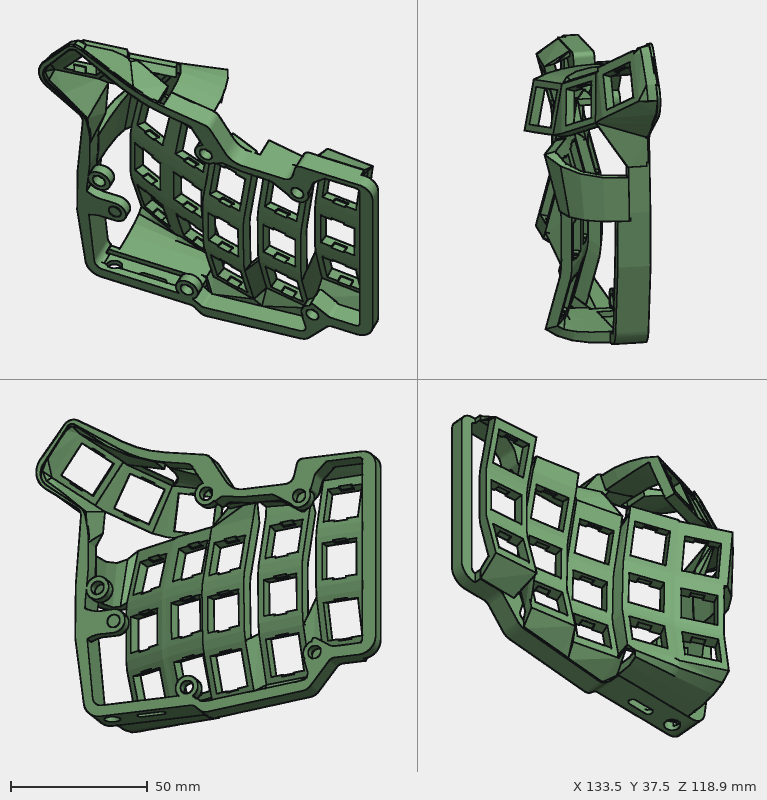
import cadquery as cq
import math


KEY_SIZE = 19.0
KEY_THICK = 4.0
HOLE_SIZE = 14.0
NOTCH_WIDTH = 5.2
NOTCH_REACH = 0.6
NOTCH_DEPTH = 2.5
ROW_PITCH = 15.0
ROW_RADIUS = 86.5
BOTTOM_ROW = -1
TOP_ROW = 1
ROWS = (BOTTOM_ROW, 0, TOP_ROW)

COLUMNS = (
    ((33.2, 23.4, 42.4), 25.0, 0.0),
    ((52.7, 15.5, 43.0), 20.0, 1.0),
    ((71.6, 4.9, 39.7), 15.0, 1.0),
    ((94.1, 4.7, 43.3), 10.0, 0.5),
    ((116.3, 7.3, 55.3), 5.0, 0.0),
)

THUMBS = (
    ((51.4, 28.34, 86.5), (0.93, 0.345, -0.13), (-0.295, 0.909, 0.296)),
    ((32.9, 19.8, 92.0), (0.786, 0.485, -0.386), (-0.365, 0.865, 0.345)),
    ((16.7, 9.0, 102.0), (0.684, 0.545, -0.482), (-0.403, 0.826, 0.361)),
)

RIM_HEIGHT = 8.0
LEFT_HEIGHT = 12.4
RIGHT_HEIGHT = 5.2
THUMB_HEIGHT = 1.1
RIGHT_STEP_X = 126.7
THUMB_END_X = 49.5
THUMB_START_Z = 72.0
LEFT_WALL_X = 23.5
BOTTOM_WALL_X = 62.0
BOTTOM_WALL_Z = 7.6
LEFT_WALL_TOP = 52.0
WALL_OVERLAP = 0.5
BEYOND = 200.0

MERGE_DISTANCE = 1e-4
FLAT_TOLERANCE = 1e-6
CURVE_STEPS = 4

OUTER_OUTLINE = (
    (19.4, 3.3, 6.5),
    (15.3, 34.6, 0.0),
    (15.5, 55.0, 0.0),
    (17.7, 83.4, 4.0),
    (-3.4, 98.6, 8.0),
    (13.3, 120.15, 4.2),
    (41.8, 103.5, 50.0),
    (67.8, 98.9, 4.0),
    (77.0, 84.1, 8.0),
    (100.7, 84.1, 3.5),
    (102.9, 93.1, 2.5),
    (133.47, 93.1, 5.5),
    (133.47, 14.95, 6.5),
    (116.0, 14.95, 3.0),
    (106.7, 3.8, 5.0),
    (65.6, -0.15, 4.0),
    (61.7, 3.3, 3.0),
)
INNER_OUTLINE = (
    (22.5, 7.5, 3.5),
    (19.0, 45.0, 40.0),
    (20.4, 60.0, 3.0),
    (20.4, 75.0, 20.0),
    (18.8, 83.5, 6.0),
    (-0.6, 98.4, 6.0),
    (13.4, 118.0, 2.0),
    (40.7, 100.0, 50.0),
    (60.5, 96.3, 3.0),
    (64.8, 89.5, 3.0),
    (70.0, 80.5, 1.0),
    (73.2, 82.4, 2.0),
    (81.0, 81.1, 2.0),
    (93.0, 80.7, 3.0),
    (102.0, 75.0, 1.0),
    (108.0, 81.0, 2.0),
    (109.6, 86.5, 3.0),
    (114.2, 90.9, 0.6),
    (128.3, 90.9, 1.6),
    (128.3, 19.4, 1.6),
    (116.2, 19.4, 3.0),
    (109.0, 24.0, 1.0),
    (105.3, 15.5, 2.0),
    (107.5, 7.9, 2.5),
    (65.4, 4.1, 1.5),
    (60.5, 7.5, 2.0),
)

BOSSES = ((66.8, 84.1), (24.1, 52.9), (103.4, 78.9), (109.4, 18.0), (59.2, 10.5))
BOSS_RADIUS = 4.4
BOSS_HEIGHT = 4.0
SCREW_DIAMETER = 4.95

TAB_X = 30.4
TAB_Z = 39.4
TAB_RADIUS = 4.5
TAB_ROOT_X = 18.0
TAB_ROOT_HALF = 7.2
TAB_STRAIGHT = 4.0
TAB_FLARE_X = 21.5
TAB_FLARE = 0.6
TAB_HOLE_DIAMETER = 4.9
TAB_HOLE_DEPTH = 0.2

POCKET_X = (21.5, 55.6)
POCKET_Y = (3.1, 10.3)
POCKET_Z = (5.4, 7.6)
PORT_X = (38.0, 49.0)
PORT_Y = 4.7
PORT_WIDTH = 3.2
JACK_X = 28.0
JACK_Y = 5.0
JACK_DIAMETER = 6.0

TOP_LIPS = (3.0, 3.0, 4.5, 2.2, 1.6)
FLAT_TOP_FEET = {
    2: ((71.0, 81.8), (71.5, 84.1), (83.0, 81.3), (83.0, 84.1)),
    3: ((85.0, 81.0), (85.0, 84.1), (103.0, 79.0), (103.0, 84.1)),
}
FLAT_TOP_RISE = 1.5
FLAT_TOP_DROPS = {2: 3.5, 3: 0.0}
LAST_TOP_FOOT = ((108.0, 90.9), (108.0, 93.1), (126.5, 90.9), (126.5, 93.1))
BOTTOM_LIP = 2.5
BOTTOM_FEET = (
    ((27.0, 7.5), (27.0, 3.3), (44.5, 7.5), (44.5, 3.3)),
    ((46.0, 7.5), (46.0, 3.3), (62.0, 7.5), (62.0, 3.3)),
    ((66.0, 4.1), (66.0, 0.2), (82.5, 5.6), (82.5, 1.7)),
    ((86.0, 6.0), (86.0, 2.2), (104.8, 7.6), (104.8, 4.0)),
    ((107.5, 19.4), (110.0, 14.95), (126.5, 19.4), (126.5, 14.95)),
)
JOINED_WALLS = 4
BOWED_COLUMNS = (0, 1)
BOTTOM_CONTROL_HEIGHT = 29.0
LEFT_FOOT = ((19.6, 52.0), (15.4, 52.0), (20.4, 68.0), (16.6, 68.0))
LEFT_CONTROL_HEIGHT = 29.0
SIDE_LIP = 1.3

THUMB_STATIONS = (
    ((19.3, 83.0), (17.4, 82.6)),
    ((9.5, 91.9), (8.3, 90.1)),
    ((3.8, 96.7), (2.3, 95.3)),
    ((2.2, 100.6), (0.1, 101.1)),
    ((4.2, 105.7), (2.7, 106.7)),
    ((11.6, 115.2), (10.5, 116.5)),
    ((13.9, 116.6), (13.5, 118.6)),
    ((16.4, 115.6), (17.5, 117.6)),
    ((27.6, 107.2), (28.8, 111.3)),
    ((36.4, 102.4), (37.6, 105.8)),
    ((46.5, 98.9), (47.3, 102.5)),
)
SHOULDER_INSET = 0.4
SHOULDER_HEIGHT = 4.5
OPENING_HEIGHT = 10.0
NECK_END_X = (16.8, 20.4)
NECK_END_Z = 71.0
NECK_BULGE = (22.0, 11.0, 77.5)
THUMB_LIP_SHIFT = (1.0, -3.2, 0.9)
FAR_THUMB_LIP = 1.2
NEAR_THUMB_FOOT = ((49.5, 98.3), (49.5, 102.1), (64.0, 93.0), (66.5, 98.4))
NEAR_THUMB_CONTROL_HEIGHT = 23.3


def hull(points):
    """Convex solid around a handful of points."""
    vectors = []
    for point in points:
        vector = cq.Vector(*point)
        if all((vector - other).Length > MERGE_DISTANCE for other in vectors):
            vectors.append(vector)
    faces = {}
    count = len(vectors)
    for i in range(count):
        for j in range(i + 1, count):
            for k in range(j + 1, count):
                normal = (vectors[j] - vectors[i]).cross(vectors[k] - vectors[i])
                if normal.Length < FLAT_TOLERANCE:
                    continue
                normal = normal.normalized()
                heights = [normal.dot(v - vectors[i]) for v in vectors]
                if max(heights) > FLAT_TOLERANCE and min(heights) < -FLAT_TOLERANCE:
                    continue
                on_face = frozenset(n for n in range(count) if abs(heights[n]) <= FLAT_TOLERANCE)
                faces[on_face] = normal
    shell_faces = []
    for members, normal in faces.items():
        ring = [vectors[n] for n in members]
        middle = sum(ring, cq.Vector()) * (1 / len(ring))
        axis = (ring[0] - middle).normalized()
        side = normal.cross(axis)
        ring.sort(key=lambda v: math.atan2((v - middle).dot(side), (v - middle).dot(axis)))
        shell_faces.append(cq.Face.makeFromWires(cq.Wire.makePolygon(ring, close=True)))
    return cq.Solid.makeSolid(cq.Shell.makeShell(shell_faces)).fix()


def wall_sections(upper, lower, control_height):
    """Sections of a wall from a plate edge to its foot, bowed outwards above the foot."""
    sections = []
    for step in range(CURVE_STEPS + 1):
        t = step / CURVE_STEPS
        section = []
        for start, end in zip(upper, lower):
            control = (end[0], control_height, end[2])
            section.append(tuple(
                (1 - t) ** 2 * a + 2 * t * (1 - t) * b + t ** 2 * c
                for a, b, c in zip(start, control, end)
            ))
        sections.append(section)
    return sections


def curved_wall(upper, lower, control_height):
    """Ruled wall whose upper and lower ends are flat."""
    wires = []
    for section in wall_sections(upper, lower, control_height):
        left_inner, left_outer, right_inner, right_outer = [cq.Vector(*point) for point in section]
        wires.append(cq.Wire.makePolygon([left_inner, left_outer, right_outer, right_inner], close=True))
    return cq.Solid.makeLoft(wires, True)


def curved_joint(upper, lower, control_height):
    """Hulls that fill the narrow twisted gap between two curved walls."""
    sections = wall_sections(upper, lower, control_height)
    return [hull(above + below) for above, below in zip(sections, sections[1:])]


def finger_plane(column, row):
    """Underside plane of a finger key; its normal points into the shell."""
    origin, tent, splay = COLUMNS[column]
    angle = math.radians(tent)
    home = cq.Plane(
        origin,
        xDir=(math.cos(angle), -math.sin(angle), 0),
        normal=(-math.sin(angle), -math.cos(angle), 0),
    ).rotated((0, 0, splay))
    pitch = row * ROW_PITCH
    rise = ROW_RADIUS * math.sin(math.radians(pitch))
    lift = ROW_RADIUS * (1 - math.cos(math.radians(pitch)))
    key = home.rotated((-pitch, 0, 0))
    key.origin = home.toWorldCoords((0, rise, -lift))
    return key


def thumb_plane(index):
    """Underside plane of a thumb key; its normal points into the shell."""
    origin, across, outward = THUMBS[index]
    inward = -cq.Vector(*outward).normalized()
    across = cq.Vector(*across)
    return cq.Plane(origin, xDir=across - inward * across.dot(inward), normal=inward)


def key_plate(plane):
    """Square plate with a switch hole and a clip notch in its two level sides."""
    plate = cq.Workplane(plane).rect(KEY_SIZE, KEY_SIZE).extrude(-KEY_THICK)
    hole = cq.Workplane(plane).rect(HOLE_SIZE, HOLE_SIZE).extrude(-KEY_THICK)
    notch = cq.Workplane(plane).rect(NOTCH_WIDTH, HOLE_SIZE + 2 * NOTCH_REACH).extrude(-NOTCH_DEPTH)
    return plate.cut(hole).cut(notch).val()


def post(plane, side, end, extra=0, side_extra=0):
    """Underside and outer point of a plate corner, pushed past the plate's edges by the extras."""
    x = side * (KEY_SIZE / 2 + side_extra)
    y = end * (KEY_SIZE / 2 + extra)
    return [plane.toWorldCoords((x, y, -depth)).toTuple() for depth in (0, KEY_THICK)]


def edge(plane, end, extra=0):
    """Both posts of the plate's upper (+1) or lower (-1) edge."""
    return post(plane, -1, end, extra) + post(plane, 1, end, extra)


def foot(height, corners):
    """Four foot points sunk into the rim, in the order of a plate edge's points."""
    return [(x, height - WALL_OVERLAP, z) for x, z in corners]


def rounded_outline(corners):
    """Closed outline in the XZ plane with every corner rounded by its own radius."""
    sketch = None
    count = len(corners)
    for n in range(count):
        x, z, radius = corners[n]
        corner = cq.Vector(x, z)
        if radius == 0:
            sketch = sketch.lineTo(x, z)
            continue
        before = (cq.Vector(*corners[n - 1][:2]) - corner).normalized()
        after = (cq.Vector(*corners[(n + 1) % count][:2]) - corner).normalized()
        half = before.getAngle(after) / 2
        reach = radius / math.tan(half)
        middle_reach = radius / math.sin(half) - radius
        start = corner + before * reach
        end = corner + after * reach
        middle = corner + (before + after).normalized() * middle_reach
        if sketch is None:
            sketch = cq.Workplane("XZ").moveTo(start.x, start.y)
        else:
            sketch = sketch.lineTo(start.x, start.y)
        sketch = sketch.threePointArc((middle.x, middle.y), (end.x, end.y))
    return sketch.close()


def block(x_range, y_range, z_range):
    """Axis-aligned box given by its limits."""
    lows, highs = zip(x_range, y_range, z_range)
    sizes = [high - low for low, high in zip(lows, highs)]
    return cq.Workplane("XY").box(*sizes, centered=False).translate(lows)


def rim():
    ring = rounded_outline(OUTER_OUTLINE).extrude(-LEFT_HEIGHT)
    ring = ring.cut(rounded_outline(INNER_OUTLINE).extrude(-LEFT_HEIGHT))
    upper = block((-BEYOND, BEYOND), (RIM_HEIGHT, BEYOND), (-BEYOND, BEYOND))
    left = block((-BEYOND, LEFT_WALL_X), (0, BEYOND), (-BEYOND, LEFT_WALL_TOP))
    bottom = block((-BEYOND, BOTTOM_WALL_X), (0, BEYOND), (-BEYOND, BOTTOM_WALL_Z))
    ring = ring.cut(upper.cut(left).cut(bottom))
    ring = ring.cut(block((RIGHT_STEP_X, BEYOND), (RIGHT_HEIGHT, BEYOND), (-BEYOND, BEYOND)))
    ring = ring.cut(block((-BEYOND, THUMB_END_X), (THUMB_HEIGHT, BEYOND), (THUMB_START_Z, BEYOND)))
    return ring


def boss_cylinder(radius, height):
    return cq.Workplane("XZ").pushPoints(BOSSES).circle(radius).extrude(-height)


def tab():
    low = TAB_Z - TAB_RADIUS
    high = TAB_Z + TAB_RADIUS
    flare_end_x = TAB_X - TAB_STRAIGHT
    body = (
        cq.Workplane("XZ")
        .moveTo(TAB_ROOT_X, TAB_Z - TAB_ROOT_HALF)
        .threePointArc((TAB_FLARE_X, low - TAB_FLARE), (flare_end_x, low))
        .lineTo(TAB_X, low)
        .threePointArc((TAB_X + TAB_RADIUS, TAB_Z), (TAB_X, high))
        .lineTo(flare_end_x, high)
        .threePointArc((TAB_FLARE_X, high + TAB_FLARE), (TAB_ROOT_X, TAB_Z + TAB_ROOT_HALF))
        .close()
        .extrude(-BOSS_HEIGHT)
    )
    hole = cq.Workplane("XZ").center(TAB_X, TAB_Z).circle(TAB_HOLE_DIAMETER / 2).extrude(-TAB_HOLE_DEPTH)
    return body.cut(hole)


def connector_cuts():
    """Pocket inside the lower wall, an obround port and a round port through it."""
    pocket = block(POCKET_X, POCKET_Y, POCKET_Z)
    low_port, high_port = PORT_X
    port = (
        cq.Workplane("XY", origin=((low_port + high_port) / 2, PORT_Y, 0))
        .slot2D(high_port - low_port, PORT_WIDTH)
        .extrude(POCKET_Z[1])
    )
    jack = (
        cq.Workplane("XY", origin=(JACK_X, JACK_Y, 0))
        .circle(JACK_DIAMETER / 2)
        .extrude(POCKET_Z[1])
    )
    return pocket.union(port).union(jack)


fingers = [{row: finger_plane(column, row) for row in ROWS} for column in range(len(COLUMNS))]
thumbs = [thumb_plane(index) for index in range(len(THUMBS))]


def plates():
    solids = [key_plate(keys[row]) for keys in fingers for row in ROWS]
    return solids + [key_plate(plane) for plane in thumbs]


def row_webs():
    return [
        hull(edge(keys[row], 1) + edge(keys[row + 1], -1))
        for keys in fingers for row in ROWS[:-1]
    ]


def column_web(left, right, rows):
    """Strip between two columns: beside each key and across the row gaps."""
    solids = []
    for row in rows:
        a, b = fingers[left][row], fingers[right][row]
        solids.append(hull(post(a, 1, -1) + post(a, 1, 1) + post(b, -1, -1) + post(b, -1, 1)))
    for row, above in zip(rows, rows[1:]):
        a, b = fingers[left], fingers[right]
        solids.append(hull(
            post(a[row], 1, 1) + post(a[above], 1, -1) + post(b[row], -1, 1) + post(b[above], -1, -1)
        ))
    return solids


def thumb_webs():
    solids = []
    for right, left in zip(thumbs, thumbs[1:]):
        solids.append(hull(post(left, 1, 1) + post(left, 1, -1) + post(right, -1, 1) + post(right, -1, -1)))
    return solids


def top_walls():
    """Lips above the top row, and walls from the three right columns to the rim."""
    solids = []
    lips = []
    for keys, reach in zip(fingers, TOP_LIPS):
        lips.append(edge(keys[TOP_ROW], 1, reach))
        solids.append(hull(edge(keys[TOP_ROW], 1) + lips[-1]))
    left, right = fingers[0][TOP_ROW], fingers[1][TOP_ROW]
    lip_ends = post(left, 1, 1, TOP_LIPS[0]) + post(right, -1, 1, TOP_LIPS[1])
    solids.append(hull(post(left, 1, 1) + post(right, -1, 1) + lip_ends))
    for column, corners in FLAT_TOP_FEET.items():
        lower = foot(RIM_HEIGHT, corners)
        raised = []
        for n, (lip_point, foot_point) in enumerate(zip(lips[column], lower)):
            rise = FLAT_TOP_RISE if n % 2 == 0 else -FLAT_TOP_DROPS[column]
            raised.append((foot_point[0], lip_point[1] + rise, foot_point[2]))
        solids.append(hull(lips[column] + raised))
        solids.append(hull(raised + lower))
    solids.append(hull(lips[-1] + foot(RIM_HEIGHT, LAST_TOP_FOOT)))
    return solids


def bottom_walls():
    """Walls under every column, bowed below the first two, with joints between the first four."""
    solids = []
    walls = []
    for column, corners in enumerate(BOTTOM_FEET):
        key = fingers[column][BOTTOM_ROW]
        plate_edge = edge(key, -1)
        lip = edge(key, -1, BOTTOM_LIP)
        upper = [plate_edge[0], lip[1], plate_edge[2], lip[3]]
        solids.append(hull(plate_edge + upper))
        if column in BOWED_COLUMNS:
            lower = foot(LEFT_HEIGHT, corners)
            solids.append(curved_wall(upper, lower, BOTTOM_CONTROL_HEIGHT))
        else:
            lower = foot(RIM_HEIGHT, corners)
            solids.append(hull(upper + lower))
        walls.append((plate_edge, upper, lower))
    for column in range(JOINED_WALLS - 1):
        plate_ends, upper, lower = [a[2:] + b[:2] for a, b in zip(walls[column], walls[column + 1])]
        solids.append(hull(plate_ends + upper))
        if column + 1 in BOWED_COLUMNS:
            solids += curved_joint(upper, lower, BOTTOM_CONTROL_HEIGHT)
        else:
            solids.append(hull(upper + lower))
    return solids


def left_wall():
    """Bowed wall from the left edge of the top-left key to the rim."""
    key = fingers[0][TOP_ROW]
    plate_side = post(key, -1, -1) + post(key, -1, 1, TOP_LIPS[0])
    lip = post(key, -1, -1, 0, SIDE_LIP) + post(key, -1, 1, TOP_LIPS[0], SIDE_LIP)
    upper = [plate_side[0], lip[1], plate_side[2], lip[3]]
    wall = curved_wall(upper, foot(RIM_HEIGHT, LEFT_FOOT), LEFT_CONTROL_HEIGHT)
    return [hull(plate_side + upper), wall]


def thumb_skirt():
    """Skirt from the outer two thumb keys down to the thin rim."""
    rim_posts = []
    shoulders = []
    for inner, outer in THUMB_STATIONS:
        rim_posts.append([(x, THUMB_HEIGHT - WALL_OVERLAP, z) for x, z in (inner, outer)])
        x, z = [o + SHOULDER_INSET * (i - o) for i, o in zip(inner, outer)]
        shoulders.append((x, SHOULDER_HEIGHT, z))
    _, middle, far = thumbs
    far_low_left, far_low_right = post(far, -1, -1), post(far, 1, -1)
    far_high_left, far_high_right = post(far, -1, 1), post(far, 1, 1)
    middle_high, middle_low = post(middle, -1, 1), post(middle, -1, -1)
    plate_posts = (
        middle_low + far_low_right,
        far_low_right + far_low_left,
        far_low_left,
        far_low_left + shoulders[3:5],
        far_low_left + far_high_left + shoulders[4:6],
        far_high_left + shoulders[5:7],
        far_high_left + shoulders[6:8],
        far_high_left + far_high_right,
        far_high_right + middle_high,
    )
    solids = []
    for points, start, end in zip(plate_posts, rim_posts, rim_posts[1:]):
        solids.append(hull(points + start + end))
    web_top = [(x, OPENING_HEIGHT, z) for x, _, z in rim_posts[-1]]
    solids.append(hull(middle_high + rim_posts[-2] + rim_posts[-1] + web_top))
    neck_end = [(x, y, NECK_END_Z) for x in NECK_END_X for y in (WALL_OVERLAP, RIM_HEIGHT - WALL_OVERLAP)]
    solids.append(hull(middle_low + rim_posts[0] + neck_end + [NECK_BULGE]))
    return solids


def thumb_walls():
    """Lips along the upper thumb edges and the bowed wall of the nearest thumb key."""
    near, middle, far = thumbs
    lip = [tuple(a + b for a, b in zip(point, THUMB_LIP_SHIFT)) for point in edge(middle, 1)]
    solids = [
        hull(edge(far, 1) + edge(far, 1, FAR_THUMB_LIP)),
        hull(edge(middle, 1) + lip),
        hull(post(middle, 1, 1) + lip[2:] + post(near, -1, 1)),
    ]
    solids.append(curved_wall(edge(near, 1), foot(RIM_HEIGHT, NEAR_THUMB_FOOT), NEAR_THUMB_CONTROL_HEIGHT))
    return solids


shell = plates() + row_webs() + thumb_webs()
shell += column_web(0, 1, ROWS)
shell += column_web(1, 2, ROWS)
shell += column_web(2, 3, ROWS[:1])
shell += column_web(3, 4, ROWS[:1])
shell += top_walls() + bottom_walls() + left_wall() + thumb_skirt() + thumb_walls()

frame = rim().union(boss_cylinder(BOSS_RADIUS, BOSS_HEIGHT)).union(tab())
body = cq.Workplane(frame.val().fuse(*shell))
result = body.cut(boss_cylinder(SCREW_DIAMETER / 2, BOSS_HEIGHT)).cut(connector_cuts())